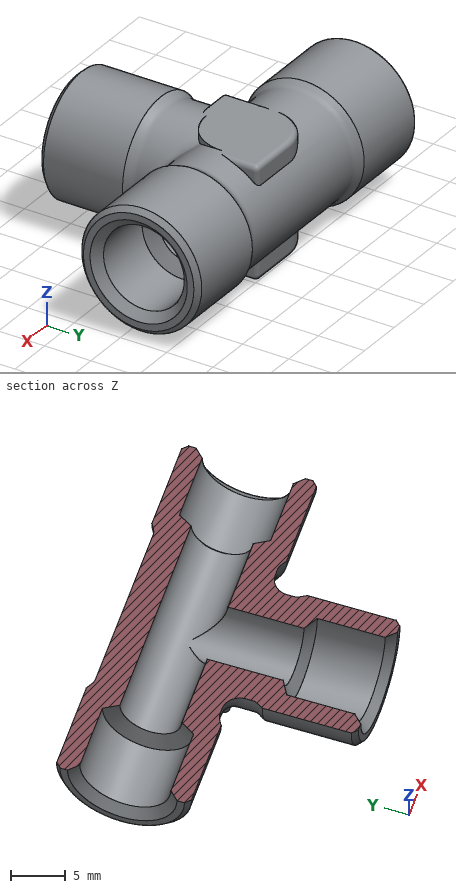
import cadquery as cq
import math

arm_length = 18.5
collar_diameter = 13.0
collar_radius = collar_diameter / 2
neck_radius = 6.0
collar_start = 9.45
shoulder_knee = 8.88
neck_end = 8.25
end_chamfer = 0.5
shoulder_run = (collar_start - shoulder_knee) + (shoulder_knee - neck_end) / 2
shoulder_angle = math.atan((collar_radius - neck_radius) / shoulder_run)

mouth_radius = 5.25
socket_radius = 4.35
bore_radius = 2.95
mouth_depth = 0.9
socket_depth = 7.4
seat_length = 0.8

pad_near = 4.5
pad_far = 5.5
pad_edge_round = 0.5
pad_corner_round = 0.5
pad_inner_radius = 4.55

crotch_radius = 1.63
tolerance = 0.05

ARM_DIRECTIONS = [180, 0, -90]


def revolve_arms(profile):
    """Revolve an (axial, radial) half-profile and copy it onto every arm."""
    arm = profile.close().revolve(360, (0, 0, 0), (1, 0, 0))
    arms = cq.Workplane("XY")
    for angle in ARM_DIRECTIONS:
        arms = arms.union(arm.rotate((0, 0, 0), (0, 0, 1), angle))
    return arms


def make_necks():
    run = cq.Workplane("YZ").circle(neck_radius).extrude(neck_end, both=True)
    branch = cq.Workplane("XZ").circle(neck_radius).extrude(neck_end)
    return run.union(branch)


def make_pads():
    pads = (
        cq.Workplane("XY")
        .moveTo(0, pad_near)
        .lineTo(pad_far, pad_near)
        .lineTo(pad_far, -pad_far)
        .lineTo(-pad_near, -pad_far)
        .lineTo(-pad_near, 0)
        .radiusArc((0, pad_near), pad_near)
        .close()
        .extrude(neck_radius, both=True)
        .edges("|Z and (<Y or >X)")
        .fillet(pad_corner_round)
        .faces("|Z")
        .edges()
        .fillet(pad_edge_round)
    )
    corner = (
        cq.Workplane("XY")
        .moveTo(pad_inner_radius, 0)
        .lineTo(pad_far, 0)
        .lineTo(pad_far, -pad_far)
        .lineTo(0, -pad_far)
        .lineTo(0, -pad_inner_radius)
        .radiusArc((pad_inner_radius, 0), -pad_inner_radius)
        .close()
        .extrude(neck_radius, both=True)
    )
    return pads.cut(corner)


def is_crotch(edge):
    """True for a seam lying on a 45 degree plane between the branch and the run."""
    mid = edge.positionAt(0.5)
    return abs(abs(mid.x) + mid.y) < tolerance and abs(mid.x) > tolerance


def make_collars():
    knee_radius = collar_radius - (collar_start - shoulder_knee) * math.tan(shoulder_angle)
    half = shoulder_angle / 2
    blend_radius = (shoulder_knee - neck_end) / math.sin(shoulder_angle)
    blend_mid = (
        neck_end + blend_radius * math.sin(half),
        neck_radius + blend_radius * (1 - math.cos(half)),
    )
    profile = (
        cq.Workplane("XY")
        .moveTo(neck_end, 0)
        .lineTo(neck_end, neck_radius)
        .threePointArc(blend_mid, (shoulder_knee, knee_radius))
        .lineTo(collar_start, collar_radius)
        .lineTo(arm_length - end_chamfer, collar_radius)
        .lineTo(arm_length, collar_radius - end_chamfer)
        .lineTo(arm_length, 0)
    )
    return revolve_arms(profile)


def make_bores():
    mouth_end = arm_length - mouth_depth
    socket_end = arm_length - socket_depth
    profile = (
        cq.Workplane("XY")
        .lineTo(0, bore_radius)
        .lineTo(socket_end - seat_length, bore_radius)
        .lineTo(socket_end, socket_radius)
        .lineTo(mouth_end, socket_radius)
        .lineTo(arm_length, mouth_radius)
        .lineTo(arm_length, 0)
    )
    return revolve_arms(profile)


body = make_necks()
crotch_edges = [edge for edge in body.edges().vals() if is_crotch(edge)]
body = body.newObject(crotch_edges).fillet(crotch_radius)
body = body.union(make_pads()).union(make_collars())
result = body.cut(make_bores())